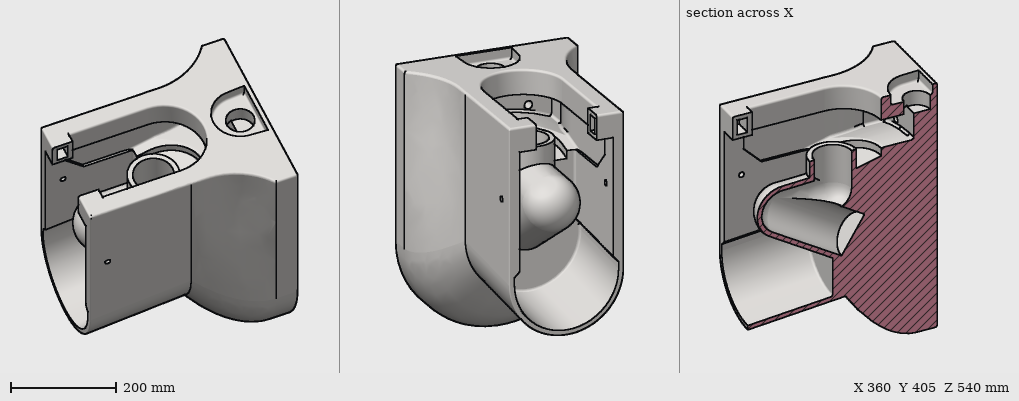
import cadquery as cq
import math

HEIGHT = 540.0
DEPTH = 405.0
EDGE_RADIUS = 5.0
FOOT_EDGE_RADIUS = 2.0
INNER_RADIUS = 5.0

RIM_RADIUS = 180.0
RIM_THICKNESS = 46.5
FOOT_RADIUS = 119.0
FOOT_AXIS_Z = 221.0
KEEL_ANGLE = 5.0
BOWL_END_Y = 209.0
WAIST_END_Y = 243.0
BOWL_SECTIONS = 6
BOWL_BULGE_POWER = 1.85
WAIST_LENGTH = 115.5
TRIM_HEIGHT = 11.0

HOLLOW_DEPTH = 181.5
HOLLOW_HALF_WIDTH = 97.0
HOLLOW_RADIUS = 108.0
HOLLOW_STEP_RISE = 14.0
BACK_WALL = 51.0
LINTEL_DEPTH = 41.5
LINTEL_GAP = 62.5

SLOT_RADIUS = 80.0
SLOT_AXIS_Y = 205.5
FLOOR_Z = 402.0
FLOOR_ANGLE = 14.0
NOTCH_DROP = 16.0
ARCH_TOP_Z = 429.5
ARCH_RADIUS = 313.5
CHAMBER_HALF_WIDTH = 102.5
CHAMBER_BACK_HALF_WIDTH = 123.0
CHAMBER_END_Y = 354.5
CHAMBER_RAMP = 38.0
FLARE_START_Y = 216.0
FLARE_END_Y = 309.5

PIPE_WALL = 11.0
NECK_RADIUS = 50.0
BEND_RADIUS = 56.5
MOUTH_Z = 440.0
NECK_BEND = (182.0, 356.5)
FRONT_BEND = (76.5, 344.5)
PIPE_END = (224.5, 252.5)

INLET_AXIS_Y = 361.5
INLET_RECESS_RADIUS = 55.5
INLET_BACK_HALF_WIDTH = 58.0
INLET_BACK_Y = 394.5
INLET_RECESS_DEPTH = 22.0
INLET_HOLE_DIAMETER = 55.0
INLET_HOLE_DEPTH = 31.5

SEAT_HOLE_X = 75.0
SEAT_HOLE_Z = 435.0
SEAT_HOLE_DIAMETER = 16.0
SIDE_HOLE_Y = 37.0
SIDE_HOLE_Z = 384.5
SIDE_HOLE_DIAMETER = 11.0
WINDOW_Y = 21.0
WINDOW_WIDTH = 21.5
WINDOW_Z = 514.5
WINDOW_HEIGHT = 32.5
WINDOW_DEPTH = 34.5


def box(x0, x1, y0, y1, z0, z1):
    return cq.Workplane("XY").box(x1 - x0, y1 - y0, z1 - z0, centered=False).translate((x0, y0, z0))


def u_wire(y, radius, axis_z, top_z, top_half_width=None):
    """Closed U outline across Y whose sides may pull in towards the top."""
    top = radius if top_half_width is None else top_half_width
    down = (0, -1)
    up = (0, 1)
    outline = (
        cq.Workplane("XZ", origin=(0, y, 0))
        .moveTo(-top, top_z)
        .lineTo(top, top_z)
    )
    if top_half_width is None:
        outline = outline.lineTo(radius, axis_z)
    else:
        outline = outline.spline([(radius, axis_z)], tangents=[down, down], includeCurrent=True)
    outline = outline.threePointArc((0, axis_z - radius), (-radius, axis_z))
    if top_half_width is None:
        return outline.close().wire().val()
    return outline.spline([(-top, top_z)], tangents=[up, up], includeCurrent=True).wire().val()


def loft(wires, ruled=False):
    return cq.Workplane(obj=cq.Solid.makeLoft(wires, ruled))


def keel_rise(y):
    return y * math.tan(math.radians(KEEL_ANGLE))


def bowl():
    """Body between rim plate and foot: concave waist at the top, bulging below."""
    start_y = DEPTH - RIM_THICKNESS
    length = start_y - BOWL_END_Y
    inset = RIM_RADIUS - FOOT_RADIUS
    keel_end = FOOT_AXIS_Z + keel_rise(BOWL_END_Y) - FOOT_RADIUS
    waist_radius = (inset**2 + WAIST_LENGTH**2) / (2 * inset)
    trim_z = HEIGHT + TRIM_HEIGHT
    wires = []
    for i in range(BOWL_SECTIONS):
        t = i / (BOWL_SECTIONS - 1)
        bulge = t**BOWL_BULGE_POWER
        left = max(0, WAIST_LENGTH - t * length)
        top = FOOT_RADIUS + waist_radius - math.sqrt(waist_radius**2 - left**2)
        radius = RIM_RADIUS - inset * bulge
        wires.append(u_wire(start_y - t * length, radius, keel_end * bulge + radius, trim_z, top))
    trim = box(-2 * RIM_RADIUS, 2 * RIM_RADIUS, 0, DEPTH, HEIGHT, 2 * HEIGHT)
    return loft(wires).cut(trim)


def outer_body():
    rim_wire = u_wire(DEPTH, RIM_RADIUS, RIM_RADIUS, HEIGHT)
    rim = cq.Workplane(obj=cq.Solid.extrudeLinear(rim_wire, [], cq.Vector(0, -RIM_THICKNESS, 0)))
    foot_wires = [
        u_wire(y, FOOT_RADIUS, FOOT_AXIS_Z + keel_rise(y), HEIGHT)
        for y in (0, WAIST_END_Y)
    ]
    body = rim.union(bowl()).union(loft(foot_wires, True))
    body = body.faces(">Z or >Y").edges().fillet(EDGE_RADIUS)
    return body.faces("<Y").edges().fillet(FOOT_EDGE_RADIUS)


def hollow_wire(y):
    """Outline of the foot hollow: straight sides stepping out to a wide round bottom."""
    half_width = HOLLOW_HALF_WIDTH
    radius = HOLLOW_RADIUS
    axis_z = FOOT_AXIS_Z + keel_rise(y)
    roof_z = HEIGHT - BACK_WALL
    step_z = axis_z + HOLLOW_STEP_RISE
    return (
        cq.Workplane("XZ", origin=(0, y, 0))
        .moveTo(-half_width, roof_z)
        .lineTo(half_width, roof_z)
        .lineTo(half_width, step_z + radius - half_width)
        .lineTo(radius, step_z)
        .lineTo(radius, axis_z)
        .threePointArc((0, axis_z - radius), (-radius, axis_z))
        .lineTo(-radius, step_z)
        .lineTo(-half_width, step_z + radius - half_width)
        .close()
        .wire()
        .val()
    )


def foot_hollow():
    hollow = loft([hollow_wire(0), hollow_wire(HOLLOW_DEPTH)], True)
    return hollow.faces(">Y").edges("not >Z").fillet(INNER_RADIUS)


def above_floor(floor_z):
    """Space over a floor that is level up to the hollow's end wall and then climbs."""
    climb = (DEPTH - HOLLOW_DEPTH) * math.tan(math.radians(FLOOR_ANGLE))
    return (
        cq.Workplane("YZ")
        .moveTo(LINTEL_DEPTH, floor_z + CHAMBER_RAMP)
        .lineTo(LINTEL_DEPTH + CHAMBER_RAMP, floor_z)
        .lineTo(HOLLOW_DEPTH, floor_z)
        .lineTo(DEPTH, floor_z + climb)
        .lineTo(DEPTH, HEIGHT + EDGE_RADIUS)
        .lineTo(LINTEL_DEPTH, HEIGHT + EDGE_RADIUS)
        .close()
        .extrude(RIM_RADIUS, both=True)
    )


def chamber():
    """Space behind the back wall: its sides flare with the waist and its floor ends in a low arch."""
    flare = CHAMBER_BACK_HALF_WIDTH - CHAMBER_HALF_WIDTH
    flare_length = FLARE_END_Y - FLARE_START_Y
    flare_radius = (flare**2 + flare_length**2) / (2 * flare)
    mid_x = CHAMBER_HALF_WIDTH + flare_radius - math.sqrt(flare_radius**2 - flare_length**2 / 4)
    mid_y = FLARE_START_Y + flare_length / 2
    base_z = FOOT_AXIS_Z + HOLLOW_STEP_RISE
    prism = (
        cq.Workplane("XY", origin=(0, 0, base_z))
        .moveTo(-CHAMBER_HALF_WIDTH, LINTEL_DEPTH)
        .lineTo(CHAMBER_HALF_WIDTH, LINTEL_DEPTH)
        .lineTo(CHAMBER_HALF_WIDTH, FLARE_START_Y)
        .threePointArc((mid_x, mid_y), (CHAMBER_BACK_HALF_WIDTH, FLARE_END_Y))
        .lineTo(CHAMBER_BACK_HALF_WIDTH, CHAMBER_END_Y)
        .lineTo(-CHAMBER_BACK_HALF_WIDTH, CHAMBER_END_Y)
        .lineTo(-CHAMBER_BACK_HALF_WIDTH, FLARE_END_Y)
        .threePointArc((-mid_x, mid_y), (-CHAMBER_HALF_WIDTH, FLARE_START_Y))
        .close()
        .extrude(HEIGHT - BACK_WALL - base_z)
    )
    arch = (
        cq.Workplane("XZ", origin=(0, HOLLOW_DEPTH, ARCH_TOP_Z - ARCH_RADIUS))
        .circle(ARCH_RADIUS)
        .extrude(HOLLOW_DEPTH - DEPTH)
    )
    behind = box(-RIM_RADIUS, RIM_RADIUS, HOLLOW_DEPTH, DEPTH, 0, HEIGHT)
    space = prism.intersect(above_floor(FLOOR_Z).union(behind.cut(arch)))
    floor_edges = cq.selectors.BoxSelector(
        (-RIM_RADIUS, FLARE_START_Y, FLOOR_Z),
        (RIM_RADIUS, DEPTH, ARCH_TOP_Z),
    )
    return space.edges(floor_edges).fillet(INNER_RADIUS)


def slot():
    """Round-ended slot through the back wall that also sinks a notch into the chamber floor."""
    notch_z = FLOOR_Z - NOTCH_DROP
    opening = (
        cq.Workplane("XY", origin=(0, 0, notch_z))
        .moveTo(-SLOT_RADIUS, LINTEL_DEPTH)
        .lineTo(SLOT_RADIUS, LINTEL_DEPTH)
        .lineTo(SLOT_RADIUS, SLOT_AXIS_Y)
        .threePointArc((0, SLOT_AXIS_Y + SLOT_RADIUS), (-SLOT_RADIUS, SLOT_AXIS_Y))
        .close()
        .extrude(HEIGHT - notch_z)
        .intersect(above_floor(notch_z))
    )
    gap = box(-LINTEL_GAP, LINTEL_GAP, 0, LINTEL_DEPTH, HEIGHT - BACK_WALL, HEIGHT)
    return opening.union(gap)


def slot_rim():
    """Selector for the upper edges of the slot behind the lintel gap."""
    margin = EDGE_RADIUS
    return cq.selectors.BoxSelector(
        (-SLOT_RADIUS - margin, LINTEL_DEPTH + margin, HEIGHT - margin),
        (SLOT_RADIUS + margin, SLOT_AXIS_Y + SLOT_RADIUS + margin, HEIGHT + margin),
    )


def rod(start, end, radius):
    """Cylinder between two (y, z) points in the middle plane."""
    run = cq.Vector(0, end[0] - start[0], end[1] - start[1])
    return cq.Workplane(obj=cq.Solid.makeCylinder(radius, run.Length, cq.Vector(0, *start), run))


def ball(centre, radius):
    return cq.Workplane("XY").sphere(radius).translate((0, *centre))


def pipe_shape(reduction):
    """Swan-neck pipe, thinner by the given reduction of its radii."""
    neck = NECK_RADIUS - reduction
    bend = BEND_RADIUS - reduction
    run = cq.Vector(0, FRONT_BEND[0] - NECK_BEND[0], FRONT_BEND[1] - NECK_BEND[1])
    cone = cq.Solid.makeCone(neck, bend, run.Length, cq.Vector(0, *NECK_BEND), run)
    return (
        rod((NECK_BEND[0], MOUTH_Z), NECK_BEND, neck)
        .union(ball(NECK_BEND, neck))
        .union(cq.Workplane(obj=cone))
        .union(ball(FRONT_BEND, bend))
        .union(rod(FRONT_BEND, PIPE_END, bend))
    )


def water_inlet():
    """D-shaped recess in the back with a round hole on the axis of its arc."""
    floor_z = HEIGHT - INLET_RECESS_DEPTH
    recess = (
        cq.Workplane("XY", origin=(0, 0, floor_z))
        .moveTo(-INLET_BACK_HALF_WIDTH, INLET_BACK_Y)
        .lineTo(INLET_BACK_HALF_WIDTH, INLET_BACK_Y)
        .lineTo(INLET_RECESS_RADIUS, INLET_AXIS_Y)
        .threePointArc((0, INLET_AXIS_Y - INLET_RECESS_RADIUS), (-INLET_RECESS_RADIUS, INLET_AXIS_Y))
        .close()
        .extrude(INLET_RECESS_DEPTH)
        .faces("<Z")
        .edges()
        .fillet(INNER_RADIUS)
    )
    hole = (
        cq.Workplane("XY", origin=(0, INLET_AXIS_Y, floor_z - INLET_HOLE_DEPTH))
        .circle(INLET_HOLE_DIAMETER / 2)
        .extrude(INLET_HOLE_DEPTH + INLET_RECESS_DEPTH / 2)
    )
    return recess.union(hole)


def seat_holes():
    return (
        cq.Workplane("XZ")
        .pushPoints([(-SEAT_HOLE_X, SEAT_HOLE_Z), (SEAT_HOLE_X, SEAT_HOLE_Z)])
        .circle(SEAT_HOLE_DIAMETER / 2)
        .extrude(-DEPTH)
    )


def side_holes():
    return (
        cq.Workplane("YZ")
        .center(SIDE_HOLE_Y, SIDE_HOLE_Z)
        .circle(SIDE_HOLE_DIAMETER / 2)
        .extrude(RIM_RADIUS, both=True)
    )


def lintel_windows():
    """Pockets in the facing ends of the two lintel blocks."""
    outer_x = LINTEL_GAP + WINDOW_DEPTH
    return cq.Workplane("XY").box(2 * outer_x, WINDOW_WIDTH, WINDOW_HEIGHT).translate((0, WINDOW_Y, WINDOW_Z))


shell = outer_body().cut(foot_hollow()).cut(chamber()).cut(slot())
result = (
    shell.edges(slot_rim()).fillet(EDGE_RADIUS)
    .cut(water_inlet())
    .cut(seat_holes())
    .cut(side_holes())
    .cut(lintel_windows())
    .union(pipe_shape(0))
    .cut(pipe_shape(PIPE_WALL))
)